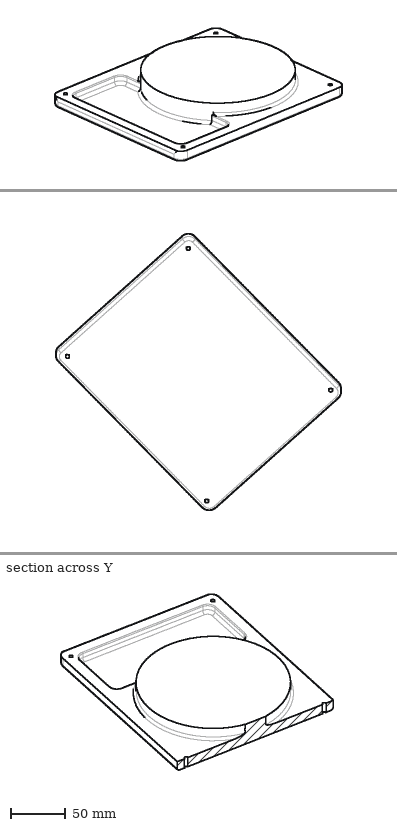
import cadquery as cq
import math

plate_width = 172.0
plate_length = 210.0
plate_height = 11.0
back_corner_radius = 8.0
front_corner_radius = 9.0
bottom_edge_radius = 3.0

front_curve_height = 4.0
front_curve_radius = 10.0

platform_radius = 71.0
platform_rise = 12.0
platform_y = 25.0
plate_blend_radius = 2.5
floor_blend_radius = 3.0

pocket_width = 148.0
pocket_front_y = -93.0
pocket_back_y = -28.0
pocket_depth = 8.5
pocket_corner_radius = 8.0
pocket_floor_radius = 3.0
pocket_rim_radius = 1.0

hole_diameter = 3.5
back_hole_x = 76.0
back_hole_y = 95.0
front_hole_x = 78.0
front_hole_y = -94.0

total_height = plate_height + platform_rise
pocket_floor_z = plate_height - pocket_depth


def make_plate():
    """Rounded rectangular plate with its bottom edge rounded."""
    return (
        cq.Workplane("XY")
        .rect(plate_width, plate_length)
        .extrude(plate_height)
        .edges("|Z and >Y")
        .fillet(back_corner_radius)
        .edges("|Z and <Y")
        .fillet(front_corner_radius)
        .faces("<Z")
        .edges()
        .fillet(bottom_edge_radius)
    )


def front_curve_setback(rise):
    """Distance the curved front has moved back at a given rise above its tangent line."""
    return front_curve_radius - math.sqrt(front_curve_radius**2 - rise**2)


def make_front_trim():
    """Material removed in front of the curved upper front side."""
    front_y = -plate_length / 2
    curve_start_z = plate_height - front_curve_height
    middle_rise = front_curve_height / 2
    middle = (front_y + front_curve_setback(middle_rise), curve_start_z + middle_rise)
    top = (front_y + front_curve_setback(front_curve_height), plate_height)
    return (
        cq.Workplane("YZ")
        .moveTo(front_y, curve_start_z)
        .threePointArc(middle, top)
        .lineTo(front_y, plate_height)
        .close()
        .extrude(plate_width / 2, both=True)
    )


def make_pocket_block(base_z, top_z, margin=0.0):
    """Block with the pocket outline between two heights, widened all round by margin."""
    length = pocket_back_y - pocket_front_y
    return (
        cq.Workplane("XY", origin=(0, (pocket_front_y + pocket_back_y) / 2, base_z))
        .rect(pocket_width + 2 * margin, length + 2 * margin)
        .extrude(top_z - base_z)
        .edges("|Z")
        .fillet(pocket_corner_radius + margin)
    )


def cut_pocket(plate):
    """Cut the pocket with a rounded floor edge, then round its rim."""
    pocket = make_pocket_block(pocket_floor_z, plate_height)
    pocket = pocket.faces("<Z").edges().fillet(pocket_floor_radius)
    rim = cq.selectors.BoxSelector(
        (-pocket_width / 2 - pocket_rim_radius, pocket_front_y - pocket_rim_radius, pocket_floor_z),
        (pocket_width / 2 + pocket_rim_radius, pocket_back_y + pocket_rim_radius, total_height),
    )
    return plate.cut(pocket).faces(">Z").edges(rim).fillet(pocket_rim_radius)


def make_platform(base_z):
    """Round platform reaching from base_z to the top of the part."""
    return (
        cq.Workplane("XY", origin=(0, platform_y, base_z))
        .circle(platform_radius)
        .extrude(total_height - base_z)
    )


def make_platform_blend(base_z, radius):
    """Concave ring that blends the platform wall into a flat at base_z."""
    outer_radius = platform_radius + radius
    arc_offset = radius * (1 - 0.5 ** 0.5)
    return (
        cq.Workplane("XZ", origin=(0, platform_y, base_z))
        .moveTo(platform_radius, 0)
        .lineTo(outer_radius, 0)
        .threePointArc((platform_radius + arc_offset, arc_offset), (platform_radius, radius))
        .close()
        .revolve(360, (0, 0, 0), (0, 1, 0))
    )


def make_holes():
    """Four holes through the corners of the plate."""
    centers = []
    for side in (-1, 1):
        centers.append((side * back_hole_x, back_hole_y))
        centers.append((side * front_hole_x, front_hole_y))
    return cq.Workplane("XY").pushPoints(centers).circle(hole_diameter / 2).extrude(plate_height)


plate = cut_pocket(make_plate().cut(make_front_trim())).cut(make_holes())

rim_clearance = make_pocket_block(plate_height, total_height, pocket_rim_radius)
upper_blend = make_platform_blend(plate_height, plate_blend_radius).cut(rim_clearance)
floor_blend = make_platform_blend(pocket_floor_z, floor_blend_radius)

result = plate.union(upper_blend).union(make_platform(pocket_floor_z)).union(floor_blend)